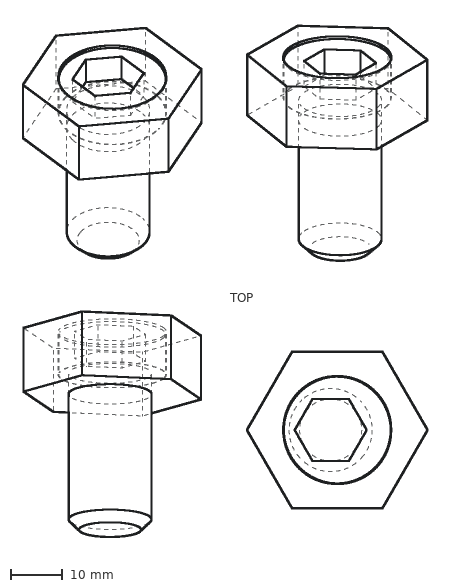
import cadquery as cq
import math

collar_flats = 30.15
collar_height = 12.65
collar_bore_diameter = 20.83

overall_length = 39.52
head_diameter = 20.55
head_recess = 0.5
head_height = 8.02
shank_offset = -1.25
shank_diameter = 16.0
shank_chamfer = 2.0
socket_flats = 12.0
socket_depth = 5.35

shank_length = overall_length - collar_height
head_top = collar_height - head_recess
head_seat = head_top - head_height


def hexagon_corners(across_flats):
    """Corner-to-corner size of a regular hexagon."""
    return across_flats / math.cos(math.pi / 6)


def make_collar():
    """Hexagonal collar with a counterbore for the head and an eccentric shank hole."""
    body = cq.Workplane("XY").polygon(6, hexagon_corners(collar_flats)).extrude(collar_height)
    counterbore = (
        cq.Workplane("XY")
        .workplane(offset=head_seat)
        .circle(collar_bore_diameter / 2)
        .extrude(collar_height - head_seat)
    )
    shank_hole = cq.Workplane("XY").center(shank_offset, 0).circle(shank_diameter / 2).extrude(head_seat)
    return body.cut(counterbore).cut(shank_hole)


def make_screw():
    """Socket screw with a chamfered shank end."""
    shank = (
        cq.Workplane("XY")
        .workplane(offset=-shank_length)
        .center(shank_offset, 0)
        .circle(shank_diameter / 2)
        .extrude(shank_length + head_seat)
        .faces("<Z")
        .chamfer(shank_chamfer)
    )
    head = cq.Workplane("XY").workplane(offset=head_seat).circle(head_diameter / 2).extrude(head_height)
    socket = (
        cq.Workplane("XY")
        .workplane(offset=head_top - socket_depth)
        .center(shank_offset, 0)
        .polygon(6, hexagon_corners(socket_flats))
        .extrude(socket_depth)
    )
    return shank.union(head).cut(socket)


collar = make_collar()
screw = make_screw()
result = cq.Compound.makeCompound([collar.val(), screw.val()])